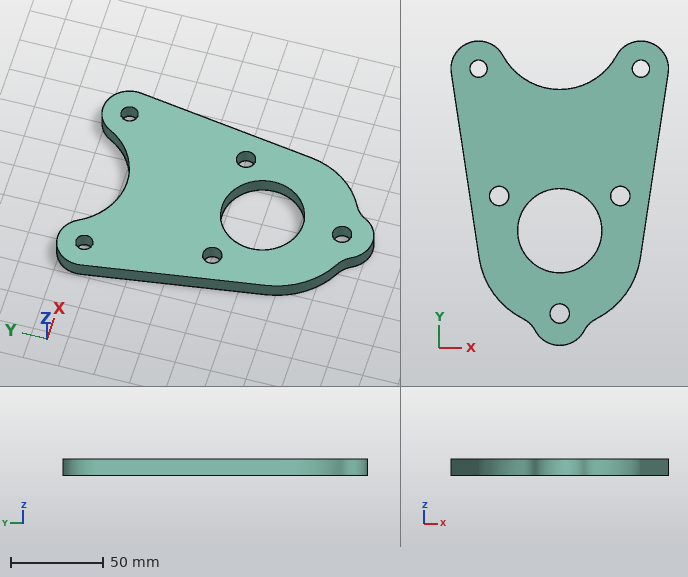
import cadquery as cq
import math

length = 165.0
width = 118.0
thickness = 9.0
top_y = 102.8
bottom_y = top_y - length

ear_radius = 15.0
lobe_radius = 15.0
blend_radius = 15.0
body_radius = 44.2

ear_center = (width / 2 - ear_radius, top_y - ear_radius)
body_center = (0.0, -8.2)
lobe_center = (0.0, bottom_y + lobe_radius)
notch_bottom_y = 76.5

bore_diameter = 45.5
ear_hole_diameter = 9.2
bolt_hole_diameter = 10.4
upper_bolt_x = 32.8
upper_bolt_y = 18.8
lower_bolt_y = -44.9


def polar(center, radius, angle):
    """Point on a circle at the given angle in radians."""
    return (center[0] + radius * math.cos(angle), center[1] + radius * math.sin(angle))


def direction(start, end):
    """Angle of the line from start to end."""
    return math.atan2(end[1] - start[1], end[0] - start[0])


def mirrored(point):
    return (-point[0], point[1])


ear_rise = ear_center[1] - notch_bottom_y
notch_radius = (ear_center[0] ** 2 + ear_rise**2 - ear_radius**2) / (2 * (ear_radius + ear_rise))
notch_center = (0.0, notch_bottom_y + notch_radius)
notch_end = polar(notch_center, notch_radius, direction(notch_center, ear_center))

side_normal = direction(body_center, ear_center) - math.acos(
    (body_radius - ear_radius) / math.dist(body_center, ear_center)
)
side_top = polar(ear_center, ear_radius, side_normal)
side_bottom = polar(body_center, body_radius, side_normal)
ear_outer = polar(ear_center, ear_radius, math.pi / 4)

body_reach = body_radius + blend_radius
lobe_reach = lobe_radius + blend_radius
center_gap = body_center[1] - lobe_center[1]
blend_drop = (body_reach**2 - lobe_reach**2 + center_gap**2) / (2 * center_gap)
blend_center = (math.sqrt(body_reach**2 - blend_drop**2), body_center[1] - blend_drop)
blend_top_angle = direction(body_center, blend_center)
blend_top = polar(body_center, body_radius, blend_top_angle)
blend_bottom = polar(lobe_center, lobe_radius, direction(lobe_center, blend_center))
blend_middle_angle = direction(
    blend_center, ((blend_top[0] + blend_bottom[0]) / 2, (blend_top[1] + blend_bottom[1]) / 2)
)
blend_middle = polar(blend_center, blend_radius, blend_middle_angle)
body_middle = polar(body_center, body_radius, (side_normal + blend_top_angle) / 2)


def make_plate():
    """Plate outline, drawn clockwise from the left end of the notch."""
    return (
        cq.Workplane("XY")
        .moveTo(*mirrored(notch_end))
        .threePointArc((0, notch_bottom_y), notch_end)
        .threePointArc(ear_outer, side_top)
        .lineTo(*side_bottom)
        .threePointArc(body_middle, blend_top)
        .threePointArc(blend_middle, blend_bottom)
        .threePointArc((0, bottom_y), mirrored(blend_bottom))
        .threePointArc(mirrored(blend_middle), mirrored(blend_top))
        .threePointArc(mirrored(body_middle), mirrored(side_bottom))
        .lineTo(*mirrored(side_top))
        .threePointArc(mirrored(ear_outer), mirrored(notch_end))
        .close()
        .extrude(thickness)
    )


def cut_holes(plate, points, diameter):
    """Cut round through holes at the given points."""
    cutters = cq.Workplane("XY").pushPoints(points).circle(diameter / 2).extrude(thickness)
    return plate.cut(cutters)


upper_bolt = (upper_bolt_x, upper_bolt_y)
bolt_points = [upper_bolt, mirrored(upper_bolt), (0, lower_bolt_y)]

result = make_plate()
result = cut_holes(result, [(0, 0)], bore_diameter)
result = cut_holes(result, [ear_center, mirrored(ear_center)], ear_hole_diameter)
result = cut_holes(result, bolt_points, bolt_hole_diameter)